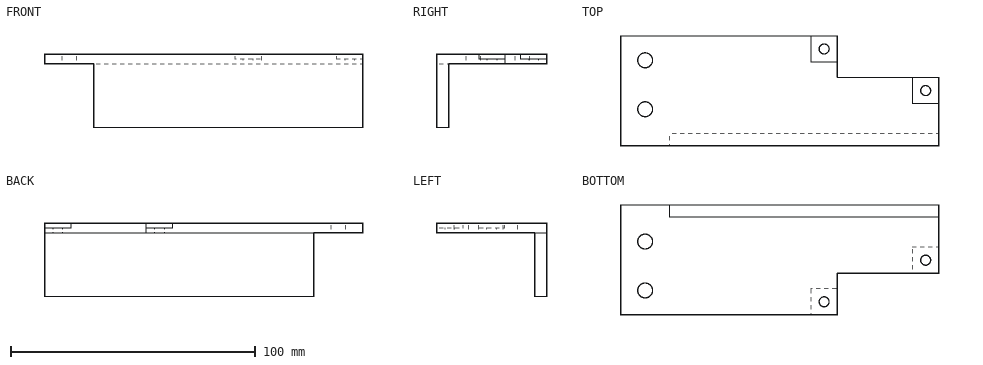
import cadquery as cq

length = 130.0
width = 45.0
height = 30.0
plate_thickness = 4.0
step_x = 88.5
step_y = 28.0

wall_thickness = 5.0
wall_start_x = 20.0

mount_hole_diameter = 6.0
mount_hole_count = 2
mount_hole_x = 10.0
mount_hole_rear_offset = 10.0
mount_hole_spacing = 20.0

pad_size = 10.75
pad_depth = 2.0
pad_hole_diameter = 4.0
pad_hole_inset = pad_size / 2
pad_corners = [(step_x, width), (length, step_y)]

plate_bottom = height - plate_thickness


def make_plate():
    outline = [
        (0, 0),
        (length, 0),
        (length, step_y),
        (step_x, step_y),
        (step_x, width),
        (0, width),
    ]
    return cq.Workplane("XY", origin=(0, 0, plate_bottom)).polyline(outline).close().extrude(plate_thickness)


def make_wall():
    wall_length = length - wall_start_x
    wall = cq.Workplane("XY").box(wall_length, wall_thickness, height, centered=False)
    return wall.translate((wall_start_x, 0, 0))


def make_plate_hole(x, y, diameter):
    return cq.Workplane("XY", origin=(x, y, plate_bottom)).circle(diameter / 2).extrude(plate_thickness)


def make_pad_recess(corner_x, corner_y):
    recess = cq.Workplane("XY").box(pad_size, pad_size, pad_depth, centered=False)
    return recess.translate((corner_x - pad_size, corner_y - pad_size, height - pad_depth))


result = make_plate().union(make_wall())

for index in range(mount_hole_count):
    mount_hole_y = width - mount_hole_rear_offset - index * mount_hole_spacing
    result = result.cut(make_plate_hole(mount_hole_x, mount_hole_y, mount_hole_diameter))

for corner_x, corner_y in pad_corners:
    result = result.cut(make_pad_recess(corner_x, corner_y))
    hole_x = corner_x - pad_hole_inset
    hole_y = corner_y - pad_hole_inset
    result = result.cut(make_plate_hole(hole_x, hole_y, pad_hole_diameter))